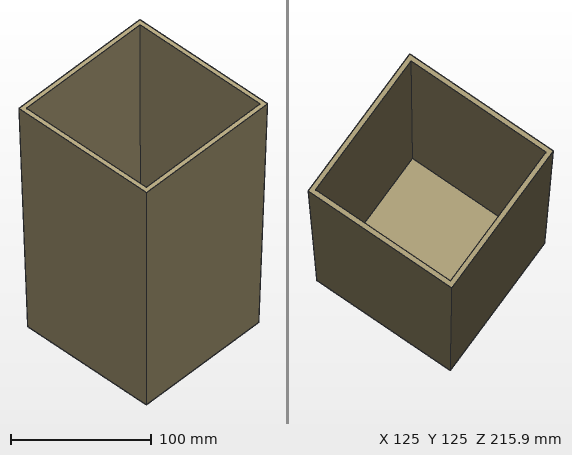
import cadquery as cq

height = 215.9
top_width = 125.0
bottom_width = 116.2
wall_thickness = 3.81
floor_thickness = wall_thickness

width_growth = (top_width - bottom_width) / height


def outer_width(z):
    """Outside width of the square section at height z."""
    return bottom_width + width_growth * z


def square_frustum(base_z, base_width, end_width):
    """Tapered square block from base_z up to the rim."""
    return (
        cq.Workplane("XY")
        .workplane(offset=base_z)
        .rect(base_width, base_width)
        .workplane(offset=height - base_z)
        .rect(end_width, end_width)
        .loft(ruled=True)
    )


body = square_frustum(0.0, bottom_width, top_width)

cavity_floor_width = outer_width(floor_thickness) - 2 * wall_thickness
cavity_rim_width = top_width - 2 * wall_thickness
cavity = square_frustum(floor_thickness, cavity_floor_width, cavity_rim_width)

result = body.cut(cavity)